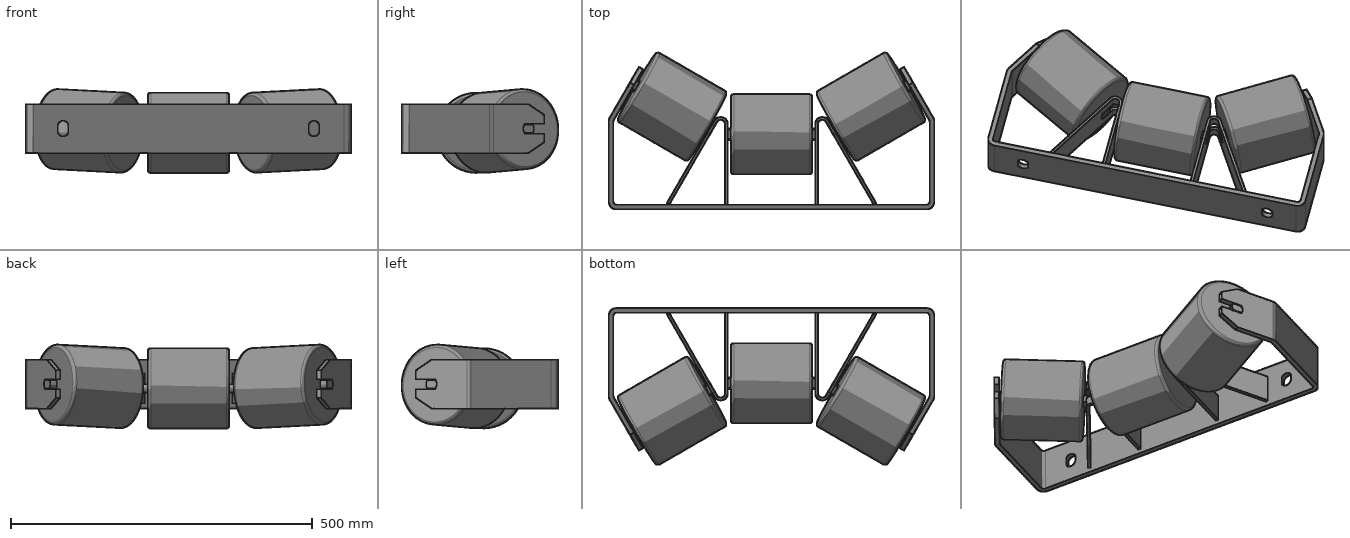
import cadquery as cq
import math

frame_width = 540.0
frame_height = 81.0
frame_plate = 8.0
frame_bend_inner = 5.0
side_bend_y = 146.0
arm_length = 97.0
arm_chamfer_along = 30.0
arm_chamfer_across = 18.0
wing_angle = 30.0

mount_slot_spacing = 416.0
mount_slot_width = 18.0
mount_slot_height = 26.0

roller_diameter = 133.5
roller_length = 135.0
roller_edge_radius = 5.0
roller_gap = 5.0
roller_y = 125.0
roller_z = -7.0
wing_tilt = 2.6
axle_diameter = 20.5
axle_flats = 14.0
seat_width = 16.0

bracket_plate = 5.0
bracket_bend_inner = 7.0
bracket_bend_y = 141.5
bracket_height = 50.0
wing_seat_drop = 15.0

frame_bend_outer = frame_bend_inner + frame_plate
bracket_bend_outer = bracket_bend_inner + bracket_plate
seat_half_span = roller_length / 2 + roller_gap
slot_length = 2 * (seat_half_span + 2 * frame_plate)
slot_reach = 2 * axle_diameter + arm_chamfer_along
swing = math.radians(wing_angle)
tilt = math.radians(wing_tilt)
outward = cq.Vector(-math.cos(swing), math.sin(swing))
along_arm = cq.Vector(math.sin(swing), math.cos(swing))
bracket_bend = cq.Vector(-seat_half_span - bracket_bend_outer, bracket_bend_y)
wing_seat = bracket_bend + outward * bracket_bend_outer - along_arm * wing_seat_drop
wing_center = wing_seat + outward * seat_half_span
wing_z = roller_z + seat_half_span * math.tan(tilt)


def at(vector):
    return (vector.x, vector.y)


def place_middle(body):
    return body.translate((0, roller_y, roller_z))


def place_left(body):
    tilted = body.rotate((0, 0, 0), (0, 1, 0), wing_tilt)
    swung = tilted.rotate((0, 0, 0), (0, 0, 1), -wing_angle)
    return swung.translate((wing_center.x, wing_center.y, wing_z))


def rod(diameter, length):
    """Cylinder along X, centred on the origin."""
    return cq.Workplane("YZ", origin=(-length / 2, 0, 0)).circle(diameter / 2).extrude(length)


def flatted_rod(length, across_flats):
    """Rod of the axle diameter with flats above and below."""
    return rod(axle_diameter, length).intersect(
        cq.Workplane("XY").box(length, axle_diameter, across_flats)
    )


def axle_slot():
    """Cutter for axle seats: the axle outline, left open towards +Y."""
    opening = cq.Workplane("XY").box(slot_length, slot_reach, seat_width)
    return flatted_rod(slot_length, seat_width).union(opening.translate((0, slot_reach / 2, 0)))


def make_roller(left_plate):
    """Drum and axle; the axle passes through left_plate at -X and one bracket plate at +X."""
    drum = rod(roller_diameter, roller_length).edges("%CIRCLE").fillet(roller_edge_radius)
    axle_length = 2 * seat_half_span + left_plate + bracket_plate
    axle = flatted_rod(axle_length, axle_flats).translate(((bracket_plate - left_plate) / 2, 0, 0))
    return drum.union(axle)


def make_frame():
    side = -frame_width / 2
    arm_bend = cq.Vector(side + frame_bend_outer, side_bend_y)
    outer_foot = arm_bend + outward * frame_bend_outer
    inner_foot = arm_bend + outward * frame_bend_inner
    tip = along_arm * arm_length
    half = (
        cq.Workplane("XY")
        .lineTo(side + frame_bend_outer, 0)
        .tangentArcPoint((side, frame_bend_outer), relative=False)
        .lineTo(side, side_bend_y)
        .tangentArcPoint(at(outer_foot), relative=False)
        .lineTo(*at(outer_foot + tip))
        .lineTo(*at(inner_foot + tip))
        .lineTo(*at(inner_foot))
        .tangentArcPoint((side + frame_plate, side_bend_y), relative=False)
        .lineTo(side + frame_plate, frame_bend_outer)
        .tangentArcPoint((side + frame_bend_outer, frame_plate), relative=False)
        .lineTo(0, frame_plate)
        .close()
        .extrude(frame_height / 2, both=True)
    )

    arm_plane = cq.Plane(
        origin=(outer_foot + tip).toTuple(), xDir=along_arm.toTuple(), normal=outward.toTuple()
    )
    for z_side in (1, -1):
        edge = z_side * frame_height / 2
        corner = (
            cq.Workplane(arm_plane)
            .polyline([(-arm_chamfer_along, edge), (0, edge), (0, edge - z_side * arm_chamfer_across)])
            .close()
            .extrude(frame_plate, both=True)
        )
        half = half.cut(corner)

    half = half.cut(place_left(axle_slot()))
    mount_slot = (
        cq.Workplane("XZ", origin=(-mount_slot_spacing / 2, 0, 0))
        .slot2D(mount_slot_height, mount_slot_width, 90)
        .extrude(-frame_plate)
    )
    half = half.cut(mount_slot)
    return half.union(half.mirror("YZ"))


def make_left_bracket():
    """Folded strip: a straight leg beside the middle roller and a slanted leg beside the left one."""
    straight_face = -seat_half_span
    outer_top = bracket_bend + outward * bracket_bend_outer
    inner_top = bracket_bend + outward * bracket_bend_inner
    leg = along_arm * ((inner_top.y - frame_plate) / along_arm.y)
    strip = (
        cq.Workplane("XY", origin=(0, 0, roller_z))
        .moveTo(straight_face, frame_plate)
        .lineTo(straight_face, bracket_bend_y)
        .tangentArcPoint(at(outer_top), relative=False)
        .lineTo(*at(outer_top - leg))
        .lineTo(*at(inner_top - leg))
        .lineTo(*at(inner_top))
        .tangentArcPoint((straight_face - bracket_plate, bracket_bend_y), relative=False)
        .lineTo(straight_face - bracket_plate, frame_plate)
        .close()
        .extrude(bracket_height / 2, both=True)
    )
    return strip.cut(place_middle(axle_slot())).cut(place_left(axle_slot()))


frame = make_frame()
left_bracket = make_left_bracket()
brackets = [left_bracket, left_bracket.mirror("YZ")]
left_roller = place_left(make_roller(frame_plate))
rollers = [left_roller, place_middle(make_roller(bracket_plate)), left_roller.mirror("YZ")]

result = cq.Compound.makeCompound([frame.val()] + [body.val() for body in brackets + rollers])